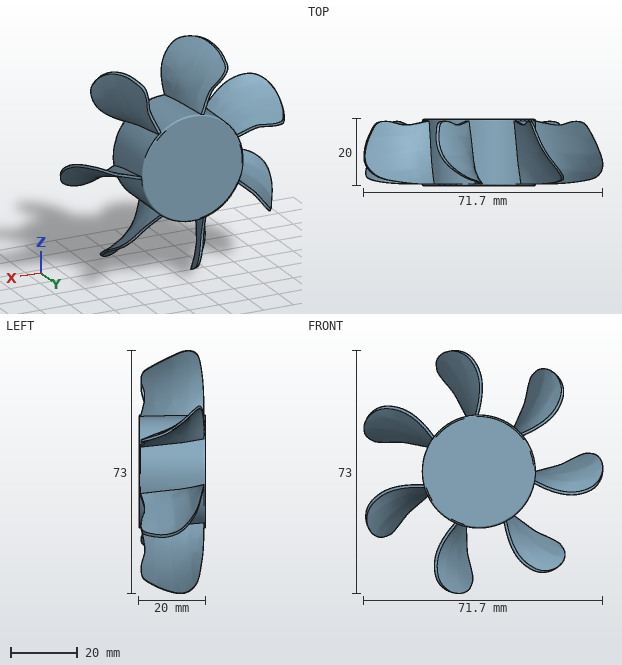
import cadquery as cq

hub_radius = 17.0
hub_length = 20.0
hub_edge_radius = 0.5
blade_count = 7
blade_thickness = 0.9

root_x = 14.0
front_y = hub_edge_radius
back_y = hub_length - hub_edge_radius

blade_sections = [
    (root_x, [-2.0, -1.6, -1.5, -1.5, -1.2]),
    (18.0, [-4.5, -3.0, -2.0, -1.3, -0.4]),
    (22.0, [-6.4, -3.7, -2.0, -0.6, 1.1]),
    (27.0, [-8.0, -3.8, -1.2, 0.7, 2.9]),
    (32.0, [-8.5, -2.9, 0.6, 3.0, 5.4]),
    (37.5, [-7.8, -1.0, 3.8, 7.4, 9.8]),
]

outline_points = [
    (22.7, 0.6),
    (28.0, 1.0),
    (32.0, 1.6),
    (35.7, 3.0),
    (36.9, 4.7),
    (37.2, 6.6),
    (36.35, 10.0),
    (34.9, 13.5),
    (33.2, 16.7),
    (31.4, 18.9),
    (29.3, 19.4),
    (27.2, 19.1),
    (25.0, 18.4),
    (22.5, 18.35),
    (19.5, 18.9),
    (hub_radius, back_y),
]


def make_hub():
    """Cylinder from Y = 0 to Y = hub_length with rounded end edges."""
    cylinder = cq.Workplane("XZ").circle(hub_radius).extrude(-hub_length)
    return cylinder.faces("<Y or >Y").edges().fillet(hub_edge_radius)


def section_wire(x, heights):
    """Closed section of the twisted sheet at one X: the lower face, and the same curve raised."""
    spacing = hub_length / (len(heights) - 1)
    lower = [cq.Vector(x, spacing * place, z) for place, z in enumerate(heights)]
    raised = [point + cq.Vector(0, 0, blade_thickness) for point in lower]
    return cq.Wire.assembleEdges(
        [
            cq.Edge.makeSpline(lower),
            cq.Edge.makeLine(lower[-1], raised[-1]),
            cq.Edge.makeSpline(raised[::-1]),
            cq.Edge.makeLine(raised[0], lower[0]),
        ]
    )


def make_blade():
    """Twisted sheet trimmed to the blade outline."""
    sheet = cq.Solid.makeLoft([section_wire(x, heights) for x, heights in blade_sections])
    trim_reach = 2 * hub_radius
    trim = (
        cq.Workplane("XY")
        .moveTo(root_x, front_y)
        .lineTo(hub_radius, front_y)
        .spline(outline_points, includeCurrent=True)
        .lineTo(root_x, back_y)
        .close()
        .extrude(trim_reach, both=True)
    )
    return trim.intersect(cq.Workplane(sheet))


blade = make_blade()
result = make_hub()
for index in range(blade_count):
    angle = -360.0 / blade_count * index
    result = result.union(blade.rotate((0, 0, 0), (0, 1, 0), angle))